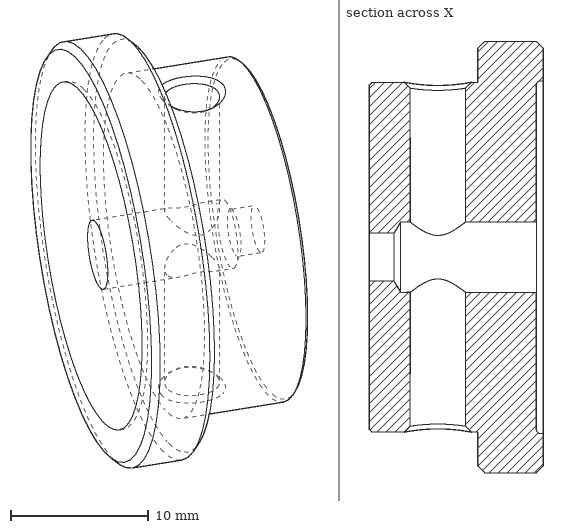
import cadquery as cq
import math

flange_diameter = 31.5
flange_thickness = 4.8
flange_chamfer = 0.5
hub_diameter = 25.5
hub_chamfer = 0.2
total_length = 12.7
front_y = -total_length / 2

recess_diameter = 25.7
recess_depth = 0.5
recess_fillet = 0.3

bore_diameter = 5.1
bore_depth = 10.4
through_diameter = 3.45
drill_point_angle = 118.0
cone_length = (bore_diameter - through_diameter) / 2 / math.tan(math.radians(drill_point_angle / 2))

cross_diameter = 4.0
cross_chamfer = 0.45
cross_from_back = 5.0
cross_y = front_y + total_length - cross_from_back


def disc(diameter, start, length):
    """Cylinder about the Y axis, starting a given distance behind the flange face."""
    plane = cq.Workplane("XZ", origin=(0, front_y + start, 0))
    return plane.circle(diameter / 2).extrude(-length)


def flange():
    return disc(flange_diameter, 0, flange_thickness).edges().chamfer(flange_chamfer)


def cross_drilled_hub():
    """Solid hub with the chamfered cross hole, before the axial bore is cut."""
    hub = disc(hub_diameter, flange_thickness, total_length - flange_thickness)
    hub = hub.faces(">Y").edges().chamfer(hub_chamfer)
    cross_hole = (
        cq.Workplane("XY", origin=(0, cross_y, 0))
        .circle(cross_diameter / 2)
        .extrude(hub_diameter / 2, both=True)
    )
    hole_reach = cross_diameter / 2 + cross_chamfer
    rim_zone = cq.selectors.BoxSelector(
        (-hole_reach, cross_y - hole_reach, -hub_diameter),
        (hole_reach, cross_y + hole_reach, hub_diameter),
        boundingbox=True,
    )
    return hub.cut(cross_hole).edges(rim_zone).edges("not %LINE").chamfer(cross_chamfer)


def face_recess():
    recess = disc(recess_diameter, 0, recess_depth)
    return recess.faces(">Y").edges().fillet(recess_fillet)


def axial_bore():
    bore_radius = bore_diameter / 2
    through_radius = through_diameter / 2
    cone_start_y = front_y + bore_depth
    return (
        cq.Workplane("XY")
        .polyline([
            (0, front_y),
            (bore_radius, front_y),
            (bore_radius, cone_start_y),
            (through_radius, cone_start_y + cone_length),
            (through_radius, front_y + total_length),
            (0, front_y + total_length),
        ])
        .close()
        .revolve(360, (0, 0, 0), (0, 1, 0))
    )


result = flange().union(cross_drilled_hub()).cut(face_recess()).cut(axial_bore())